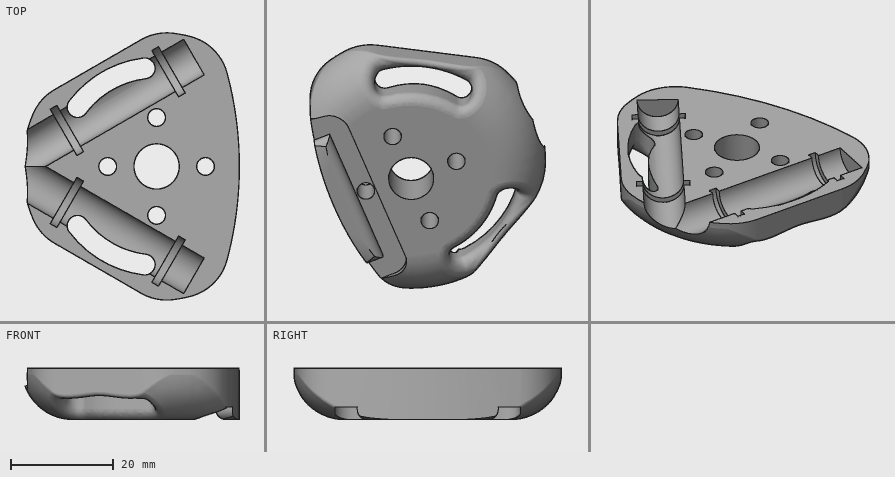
import cadquery as cq
import math

thickness = 10.0
dome_radius = 26.18
dome_rounding = 9.98

corner_radius = 26.1
flank_distance = 22.85
flank_angles = (120.0, -120.0)
blend_radius = 10.0
side_radius = 70.0
side_reach = 16.1
edge_rounding = 0.7

bore_diameter = 8.75
screw_diameter = 3.4
screw_circle_radius = 9.5
screw_count = 4

slot_radius = 19.2
slot_width = 4.0
slot_half_sweep = 23.1
slot_rounding = 2.0
rim_clearance = 0.03

channel_radius = 4.0
channel_distance = 14.77
channel_end = 16.9
channel_length = 2 * dome_radius
ring_radius = 5.2
ring_width = 1.5
ring_positions = (-11.6, 11.2)

groove_inner_x = 7.2
groove_half_length = 18.0
groove_width = 4.3
groove_depth = 2.5
groove_corner_radius = 3.6
island_rounding = 2.0


def polar(radius, degrees):
    angle = math.radians(degrees)
    return (radius * math.cos(angle), radius * math.sin(angle))


def mirrored(point):
    return (point[0], -point[1])


def shifted(point, offset):
    return (point[0] + offset[0], point[1] + offset[1])


def flank_frame(along, out, degrees):
    """Plan point at a distance along a flank and a distance out from the centre."""
    return shifted(polar(out, degrees), polar(along, degrees - 90))


def domed_disc():
    disc = cq.Workplane("XY").circle(dome_radius).extrude(-thickness)
    return disc.faces("<Z").edges().fillet(dome_rounding)


def outline_prism():
    blend_center_radius = corner_radius - blend_radius
    upper = flank_angles[0]
    blend_out = flank_distance - blend_radius
    blend_along = math.sqrt(blend_center_radius**2 - blend_out**2)
    blend_angle = math.degrees(math.acos(blend_out / blend_center_radius))

    def flank_blend(side):
        center = flank_frame(side * blend_along, blend_out, upper)
        corner_end = polar(corner_radius, upper - side * blend_angle)
        flank_end = flank_frame(side * blend_along, flank_distance, upper)
        blend_mid = shifted(center, polar(blend_radius, upper - side * blend_angle / 2))
        return corner_end, blend_mid, flank_end

    side_center_x = side_reach - side_radius
    reach = side_radius - blend_radius
    center_x = (blend_center_radius**2 - reach**2 + side_center_x**2) / (2 * side_center_x)
    center_y = math.sqrt(blend_center_radius**2 - center_x**2)
    corner_angle = math.degrees(math.atan2(center_y, center_x))
    side_angle = math.degrees(math.atan2(center_y, center_x - side_center_x))
    side_corner_end = polar(corner_radius, corner_angle)
    side_blend_mid = shifted(
        (center_x, center_y), polar(blend_radius, (corner_angle + side_angle) / 2)
    )
    side_end = shifted((center_x, center_y), polar(blend_radius, side_angle))

    near_corner, near_mid, near_flank = flank_blend(-1)
    far_corner, far_mid, far_flank = flank_blend(1)
    corner_mid = polar(corner_radius, (upper - blend_angle + corner_angle) / 2)

    outline = (
        cq.Workplane("XY")
        .moveTo(*side_end)
        .threePointArc(side_blend_mid, side_corner_end)
        .threePointArc(corner_mid, far_corner)
        .threePointArc(far_mid, far_flank)
        .lineTo(*near_flank)
        .threePointArc(near_mid, near_corner)
        .threePointArc((-corner_radius, 0), mirrored(near_corner))
        .threePointArc(mirrored(near_mid), mirrored(near_flank))
        .lineTo(*mirrored(far_flank))
        .threePointArc(mirrored(far_mid), mirrored(far_corner))
        .threePointArc(mirrored(corner_mid), mirrored(side_corner_end))
        .threePointArc(mirrored(side_blend_mid), mirrored(side_end))
        .threePointArc((side_reach, 0), side_end)
        .close()
    )
    return outline.extrude(-thickness)


def slot_cutter(degrees):
    start = degrees - slot_half_sweep
    end = degrees + slot_half_sweep
    inner = slot_radius - slot_width / 2
    outer = slot_radius + slot_width / 2
    cap_offset = math.degrees(slot_width / 2 / slot_radius)
    return (
        cq.Workplane("XY")
        .moveTo(*polar(inner, start))
        .threePointArc(polar(inner, degrees), polar(inner, end))
        .threePointArc(polar(slot_radius, end + cap_offset), polar(outer, end))
        .threePointArc(polar(outer, degrees), polar(outer, start))
        .threePointArc(polar(slot_radius, start - cap_offset), polar(inner, start))
        .close()
        .extrude(-thickness)
    )


def slotted_dome():
    """Domed disc with both slots, their lower rims rounded where they break through the dome."""
    body = domed_disc()
    for angle in flank_angles:
        body = body.cut(slot_cutter(angle))
    reach = slot_radius + slot_width
    rim_top = -thickness / 2
    rim_zone = cq.selectors.BoxSelector(
        (-reach, -reach, rim_clearance - thickness), (slot_width, reach, rim_top)
    )
    return body.edges(rim_zone).fillet(slot_rounding)


def side_groove():
    """U-shaped cutter under the bowed side, open through the side wall."""
    side_clearance = 2 * groove_width
    outer_x = side_reach + side_clearance
    length_x = outer_x - groove_inner_x
    pocket = (
        cq.Workplane("XY", origin=(groove_inner_x + length_x / 2, 0, -thickness))
        .rect(length_x, 2 * groove_half_length)
        .extrude(groove_depth)
        .edges("|Z and <X")
        .fillet(groove_corner_radius)
    )
    island_length_x = length_x - groove_width
    island = (
        cq.Workplane("XY", origin=(outer_x - island_length_x / 2, 0, -thickness))
        .rect(island_length_x, 2 * (groove_half_length - groove_width))
        .extrude(groove_depth)
        .faces("<Z")
        .edges("not >X")
        .fillet(island_rounding)
    )
    return pocket.cut(island)


def trimmed_body():
    """Grooved dome cut to the plan outline, with the lower edge of the outer wall rounded."""
    body = slotted_dome().intersect(outline_prism()).cut(side_groove())
    run = corner_radius - (dome_radius - dome_rounding)
    edge_depth = thickness - dome_rounding + math.sqrt(dome_rounding**2 - run**2)
    seed = body.edges(cq.selectors.NearestToPointSelector((-corner_radius, 0, -edge_depth)))
    return seed.fillet(edge_rounding)


def channel_cutter(degrees):
    """Channel and ring grooves, turned about axes lying in the top face."""
    turn = 1 if degrees > 0 else -1
    axis = cq.Vector(*polar(1.0, degrees - turn * 90), 0)
    middle = cq.Vector(*polar(channel_distance, degrees), 0)

    def rod(radius, start, length):
        cylinder = cq.Solid.makeCylinder(radius, length, middle + axis * start, axis)
        return cq.Workplane(obj=cylinder)

    cutter = rod(channel_radius, channel_end - channel_length, channel_length)
    for position in ring_positions:
        cutter = cutter.union(rod(ring_radius, position - ring_width / 2, ring_width))
    return cutter


def vertical_holes():
    bore = cq.Workplane("XY").circle(bore_diameter / 2).extrude(-thickness)
    screws = (
        cq.Workplane("XY")
        .polarArray(screw_circle_radius, 0, 360, screw_count)
        .circle(screw_diameter / 2)
        .extrude(-thickness)
    )
    return bore.union(screws)


result = trimmed_body().cut(vertical_holes())
for flank_angle in flank_angles:
    result = result.cut(channel_cutter(flank_angle))